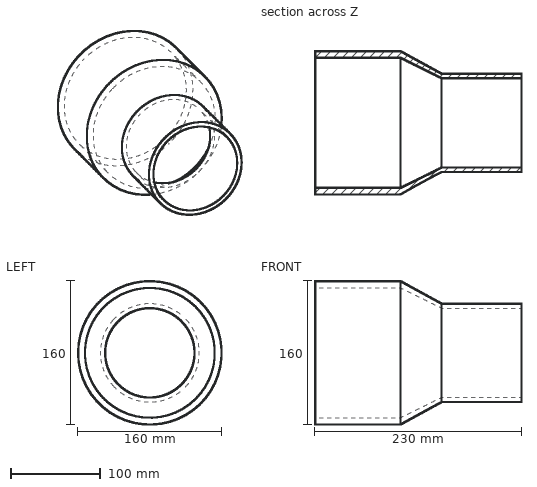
import cadquery as cq

total_length = 230.0
wide_length = 95.2
taper_length = 45.8
wide_outer_radius = 160.0 / 2
wide_inner_radius = 144.7 / 2
narrow_outer_radius = 110.0 / 2
narrow_inner_radius = 99.4 / 2

taper_end = wide_length + taper_length


def stepped_solid(wide_radius, narrow_radius):
    """Wide cylinder, cone and narrow cylinder, revolved about the X axis."""
    return (
        cq.Workplane("XY")
        .polyline([
            (0, 0),
            (0, wide_radius),
            (wide_length, wide_radius),
            (taper_end, narrow_radius),
            (total_length, narrow_radius),
            (total_length, 0),
        ])
        .close()
        .revolve(360, (0, 0, 0), (1, 0, 0))
    )


outer_body = stepped_solid(wide_outer_radius, narrow_outer_radius)
bore = stepped_solid(wide_inner_radius, narrow_inner_radius)
result = outer_body.cut(bore)